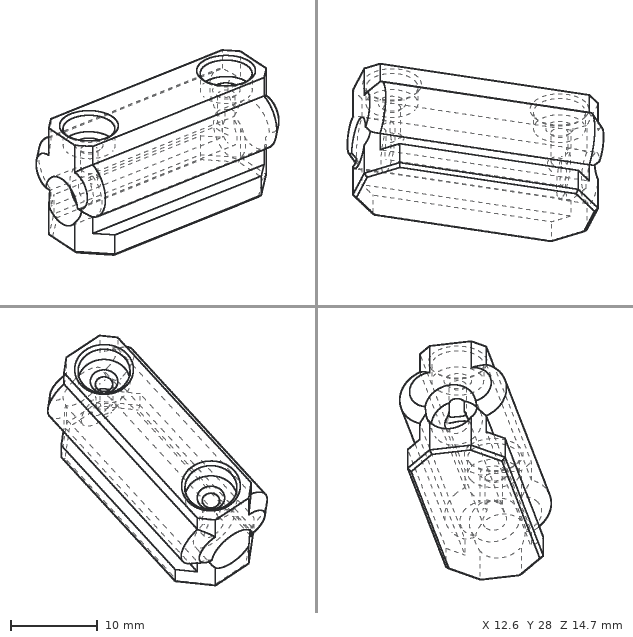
import cadquery as cq

length = 28.0
height = 14.67
body_width = 7.85
foot_width = 11.48
foot_height = 2.97
foot_edge_chamfer = 0.4
end_chamfer = 1.48

rail_radius = 3.8
rail_offset = 2.5
rail_height = 8.68

bore_height = 6.0
bore_diameter = 2.8
end_bore_diameter = 6.0
end_bore_depth = 3.5

screw_inset = 3.98
screw_diameter = 2.0
screw_chamfer = 0.6
mouth_chamfer = 0.4
head_diameter = 6.0
head_depth = 2.6
head_chamfer = 0.4

selection_margin = 0.28


def make_trimmed_box(width, bottom, top, corner_chamfer):
    """Full-length box between two heights with its four upright corners cut off."""
    return (
        cq.Workplane("XY", origin=(0, 0, bottom))
        .box(width, length, top - bottom, centered=(True, True, False))
        .edges("|Z")
        .chamfer(corner_chamfer)
    )


def make_block():
    """Upright body on a wider foot; the same slanted planes trim the corners of both."""
    foot_corner_chamfer = end_chamfer + (foot_width - body_width) / 2
    body = make_trimmed_box(body_width, foot_height, height, end_chamfer)
    foot = make_trimmed_box(foot_width, 0, foot_height, foot_corner_chamfer)
    foot = foot.faces("<Z").edges().chamfer(foot_edge_chamfer)
    return body.union(foot)


def make_rail(side):
    """Full-length cylinder with chamfered ends; side is -1 or +1 along X."""
    return (
        cq.Workplane("XZ", origin=(side * rail_offset, length / 2, rail_height))
        .circle(rail_radius)
        .extrude(length)
        .edges()
        .chamfer(end_chamfer)
    )


def make_lengthwise_bore():
    """Narrow bore running the full length of the block."""
    return (
        cq.Workplane("XZ", origin=(0, length / 2, bore_height))
        .circle(bore_diameter / 2)
        .extrude(length)
    )


def make_end_bore(end):
    """Wide bore running inward from one end face; end is -1 or +1 along Y."""
    return (
        cq.Workplane("XZ", origin=(0, end * length / 2, bore_height))
        .circle(end_bore_diameter / 2)
        .extrude(end * end_bore_depth)
    )


def chamfer_bore_mouth(part, y):
    """Break the curved edge where the screw hole at y opens into the lengthwise bore."""
    reach = screw_diameter / 2 + selection_margin
    bore_radius = bore_diameter / 2
    mouth_box = cq.selectors.BoxSelector(
        (-reach, y - reach, bore_height),
        (reach, y + reach, bore_height + bore_radius + selection_margin),
        boundingbox=True,
    )
    return part.edges(mouth_box).chamfer(mouth_chamfer)


def make_screw_hole(y):
    """Stepped hole from the top face into the lengthwise bore, turned about its own axis."""
    screw_radius = screw_diameter / 2
    head_radius = head_diameter / 2
    head_floor = height - head_depth
    profile = [
        (0, bore_height),
        (screw_radius, bore_height),
        (screw_radius, head_floor - screw_chamfer),
        (screw_radius + screw_chamfer, head_floor),
        (head_radius, head_floor),
        (head_radius, height - head_chamfer),
        (head_radius + head_chamfer, height),
        (0, height),
    ]
    return (
        cq.Workplane("XZ", origin=(0, y, 0))
        .polyline(profile)
        .close()
        .revolve(360, (0, 0, 0), (0, 1, 0))
    )


result = make_block()
for side in (-1, 1):
    result = result.union(make_rail(side))
result = result.cut(make_lengthwise_bore())
for end in (-1, 1):
    screw_y = end * (length / 2 - screw_inset)
    result = result.cut(make_screw_hole(screw_y))
    result = chamfer_bore_mouth(result, screw_y)
    result = result.cut(make_end_bore(end))